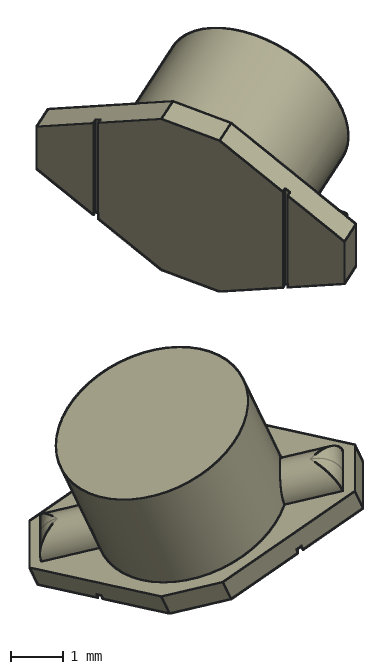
import cadquery as cq

total_length = 6.6
total_depth = 2.92
total_height = 4.45

plate_thickness = 0.5
flat_width = 1.25

body_diameter = 3.9

groove_width = 0.1
groove_depth = 0.1
groove_spacing = 3.96

bar_length = 6.11
bar_width = 1.08
bar_height = 0.5
bar_end_run = 0.49

front_y = -total_depth / 2
plate_top_y = front_y + plate_thickness


def plate_outline():
    """Corner points of the plate, counter-clockwise in X and Z."""
    end_x = total_length / 2
    end_z = total_height / 2
    flat = flat_width / 2
    return [
        (end_x, -flat), (end_x, flat), (flat, end_z), (-flat, end_z),
        (-end_x, flat), (-end_x, -flat), (-flat, -end_z), (flat, -end_z),
    ]


def make_plate():
    """Eight-sided plate with a short flat on each of its four sides."""
    back = cq.Workplane("XZ", origin=(0, plate_top_y, 0))
    return back.polyline(plate_outline()).close().extrude(plate_thickness)


def make_body():
    """Solid round body behind the plate."""
    back = cq.Workplane("XZ", origin=(0, plate_top_y, 0))
    return back.circle(body_diameter / 2).extrude(plate_thickness - total_depth)


def make_bar():
    """Bar with an arched section along X, its ends rounded over towards the plate."""
    half_length = bar_length / 2
    half_width = bar_width / 2
    arch = (
        cq.Workplane("YZ")
        .moveTo(plate_top_y, -half_width)
        .threePointArc((plate_top_y + bar_height, 0), (plate_top_y, half_width))
        .close()
        .extrude(half_length, both=True)
    )
    ends = (
        cq.Workplane("XY", origin=(0, plate_top_y, 0))
        .moveTo(-half_length, 0)
        .lineTo(half_length, 0)
        .ellipseArc(bar_end_run, bar_height, 0, 90, startAtCurrent=True)
        .lineTo(bar_end_run - half_length, bar_height)
        .ellipseArc(bar_end_run, bar_height, 90, 180, startAtCurrent=True)
        .close()
        .extrude(bar_width, both=True)
    )
    return arch.intersect(ends)


def make_grooves():
    """Two straight grooves running the full height of the plate."""
    groove_x = (groove_spacing + groove_width) / 2
    return (
        cq.Workplane("XZ", origin=(0, front_y + groove_depth, 0))
        .pushPoints([(-groove_x, 0), (groove_x, 0)])
        .rect(groove_width, total_height)
        .extrude(groove_depth)
    )


result = make_plate().union(make_body()).union(make_bar()).cut(make_grooves())